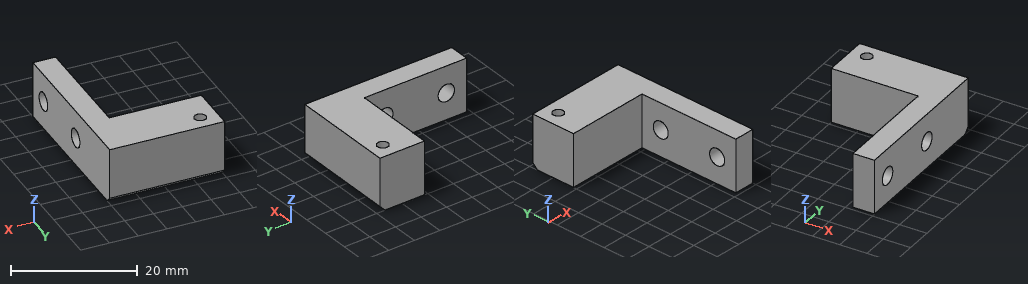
import cadquery as cq

width = 20.0
length = 28.75
height = 10.0

arm_thickness = 4.0
block_depth = 8.75
arm_length = length - block_depth
back_chamfer = 1.0

pin_hole_diameter = 2.0
pin_hole_from_left = 3.0
pin_hole_from_back = 2.75

arm_hole_diameter = 3.2
arm_hole_end_margin = 4.0
arm_hole_positions = (arm_hole_end_margin, arm_length - arm_hole_end_margin)


def make_bracket():
    """L-shaped body with its lower back edge chamfered."""
    block = cq.Workplane("XY").box(width, block_depth, height, centered=False)
    block = block.translate((0, arm_length, 0))
    block = block.edges(">Y and <Z").chamfer(back_chamfer)
    arm = cq.Workplane("XY").box(arm_thickness, arm_length, height, centered=False)
    return block.union(arm.translate((width - arm_thickness, 0, 0)))


def make_pin_hole():
    """Vertical cutter through the full height of the block."""
    return (
        cq.Workplane("XY")
        .center(pin_hole_from_left, length - pin_hole_from_back)
        .circle(pin_hole_diameter / 2)
        .extrude(height)
    )


def make_arm_holes():
    """Cutters along X through the arm at mid height."""
    centers = [(y, height / 2) for y in arm_hole_positions]
    return (
        cq.Workplane("YZ", origin=(width - arm_thickness, 0, 0))
        .pushPoints(centers)
        .circle(arm_hole_diameter / 2)
        .extrude(arm_thickness)
    )


result = make_bracket().cut(make_pin_hole()).cut(make_arm_holes())